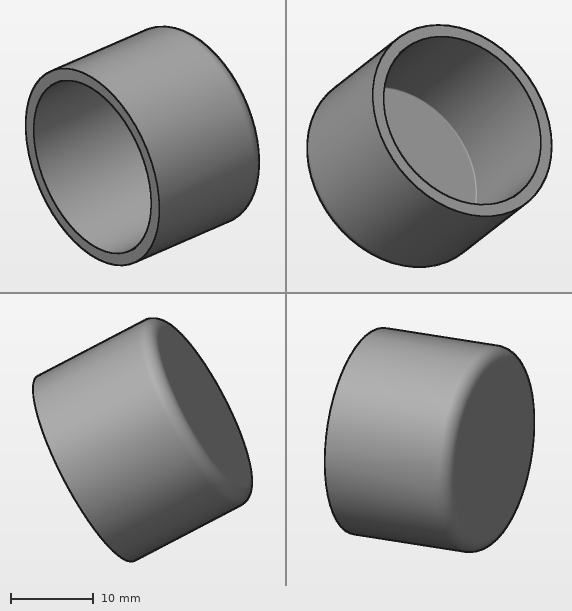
import cadquery as cq

outer_diameter = 25.27
length = 16.6
corner_radius = 1.67
bore_diameter = 22.19
end_wall = 1.52
floor_radius = 0.15

bore_depth = length - end_wall


def cylinder_along_y(diameter, depth):
    """Cylinder from the open end plane (Y = 0) towards +Y."""
    return cq.Workplane("XZ").circle(diameter / 2).extrude(-depth)


body = cylinder_along_y(outer_diameter, length).faces(">Y").edges().fillet(corner_radius)
bore = cylinder_along_y(bore_diameter, bore_depth).faces(">Y").edges().fillet(floor_radius)

result = body.cut(bore)